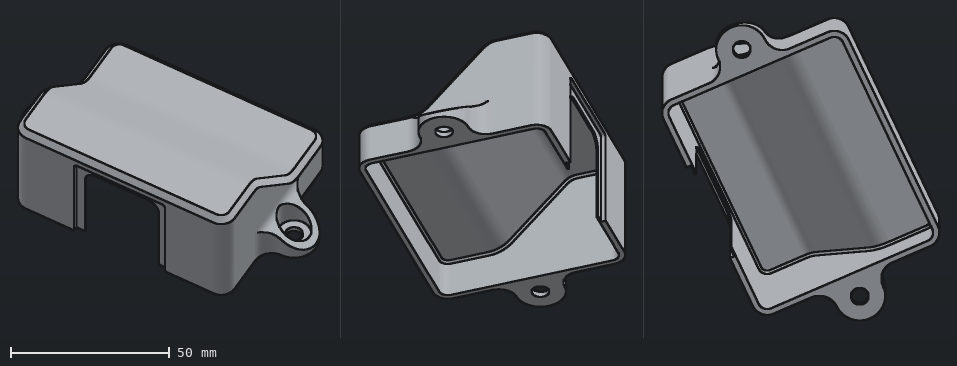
import cadquery as cq
import math

body_length = 78.0
body_depth = 64.0
front_height = 38.0
back_height = 15.0
ridge_depth = 20.0
step_slope_angle = 45.0
step_radius = 8.0
corner_radius = 5.0
rim_chamfer = 2.0

wall = 2.0

window_width = 26.7
window_height = 30.3
window_corner_radius = 4.2
recess_width = 33.0
recess_height = 33.5
recess_corner_radius = 1.3
recess_depth = 1.5

overall_length = 106.0
lug_radius = 8.1
lug_tip_height = 2.2
lug_slope_angle = 35.0
lug_root_radius = 4.0
screw_diameter = 5.5
head_diameter = 11.0
head_seat_height = 2.0

half_length = body_length / 2
half_depth = body_depth / 2
lug_center_x = overall_length / 2 - lug_radius
neck_radius = lug_center_x - half_length


def stepped_block(length, inset):
    """Extrude the stepped side profile along X, moved inward by inset everywhere but the base."""
    slope_shift = inset * math.tan(math.radians(step_slope_angle / 2))
    high = front_height - inset
    low = back_height - inset
    slope_start = -half_depth + ridge_depth - slope_shift
    slope_end = slope_start + (high - low) / math.tan(math.radians(step_slope_angle))
    block = (
        cq.Workplane("YZ")
        .moveTo(-half_depth + inset, 0)
        .lineTo(-half_depth + inset, high)
        .lineTo(slope_start, high)
        .lineTo(slope_end, low)
        .lineTo(half_depth - inset, low)
        .lineTo(half_depth - inset, 0)
        .close()
        .extrude(length / 2, both=True)
    )

    def round_step(solid, y, z, radius):
        """Fillet the edge along X that runs through the given profile corner."""
        picker = cq.selectors.NearestToPointSelector((0, y, z))
        return solid.edges("|X").edges(picker).fillet(radius)

    block = round_step(block, slope_start, high, step_radius - inset)
    return round_step(block, slope_end, low, step_radius + inset)


def cover_shape(inset):
    """Solid cover with rounded corners and chamfered rim, every face moved inward by inset."""
    block = stepped_block(body_length - 2 * inset, inset)
    block = block.edges("|Z").fillet(corner_radius - inset)
    chamfer = rim_chamfer - inset * (2 - math.sqrt(2))
    return block.faces(">Z").edges("<Y").chamfer(chamfer)


def front_opening(width, height, radius, depth):
    """Cutter with rounded top corners, reaching from the front wall to the given depth, open at the base."""
    return (
        cq.Workplane("XY")
        .box(width, depth, height, centered=(True, False, False))
        .edges("|Y and >Z")
        .fillet(radius)
        .translate((0, -half_depth, 0))
    )


def make_lug():
    """Lug on the +X end: a rounded ear with flared neck under a sloping top."""
    neck_y = lug_radius + neck_radius
    diagonal = neck_radius * math.sqrt(0.5)
    mid_x = lug_center_x - diagonal
    mid_y = neck_y - diagonal
    ear = (
        cq.Workplane("XY")
        .moveTo(half_length, -neck_y)
        .threePointArc((mid_x, -mid_y), (lug_center_x, -lug_radius))
        .threePointArc((overall_length / 2, 0), (lug_center_x, lug_radius))
        .threePointArc((mid_x, mid_y), (half_length, neck_y))
        .close()
        .extrude(back_height)
    )
    slope = math.radians(lug_slope_angle)
    reach = overall_length / 2 - half_length
    corner_z = lug_tip_height + reach * math.tan(slope)
    turn = math.pi / 2 - slope
    tangent = lug_root_radius * math.tan(turn / 2)
    blend_x = half_length + lug_root_radius
    blend_z = corner_z + tangent
    mid_angle = math.pi + turn / 2
    blend_middle = (
        blend_x + lug_root_radius * math.cos(mid_angle),
        blend_z + lug_root_radius * math.sin(mid_angle),
    )
    blend_end = (half_length + tangent * math.cos(slope), corner_z - tangent * math.sin(slope))
    side = (
        cq.Workplane("XZ")
        .moveTo(half_length, 0)
        .lineTo(half_length, blend_z)
        .threePointArc(blend_middle, blend_end)
        .lineTo(overall_length / 2, lug_tip_height)
        .lineTo(overall_length / 2, 0)
        .close()
        .extrude(half_depth, both=True)
    )
    return ear.intersect(side).intersect(stepped_block(overall_length, rim_chamfer))


def make_screw_hole():
    """Through hole with a wider pocket above it for the screw head."""
    hole = cq.Workplane("XY").center(lug_center_x, 0).circle(screw_diameter / 2).extrude(front_height)
    head = (
        cq.Workplane("XY", origin=(lug_center_x, 0, head_seat_height))
        .circle(head_diameter / 2)
        .extrude(back_height)
    )
    return hole.union(head)


window = front_opening(window_width, window_height, window_corner_radius, 2 * wall)
recess = front_opening(recess_width, recess_height, recess_corner_radius, recess_depth)
lug = make_lug().cut(make_screw_hole())

result = cover_shape(0).union(lug).union(lug.mirror("YZ"))
result = result.cut(cover_shape(wall)).cut(window).cut(recess)